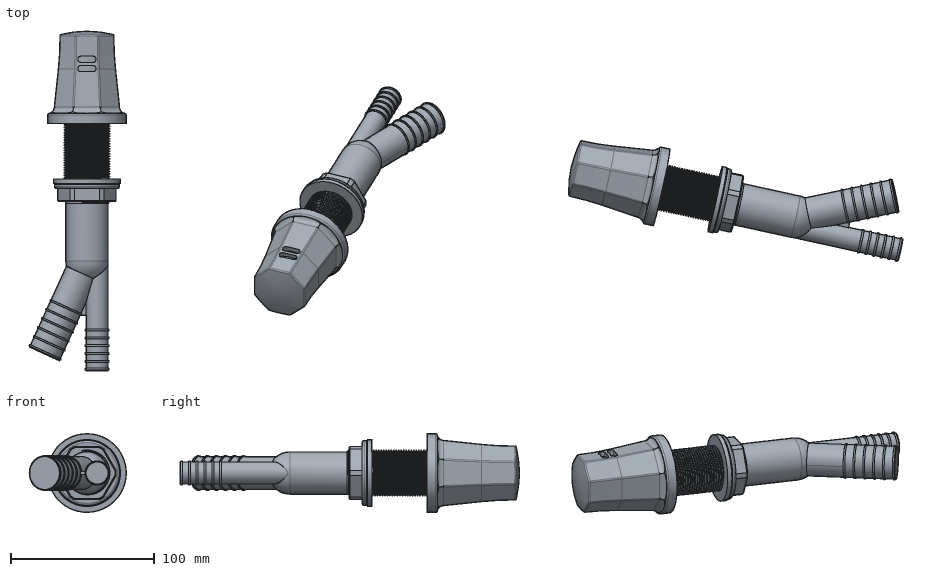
import cadquery as cq
import math


FLANGE_RADIUS = 27.43
FLANGE_HEIGHT = 7.2
FLANGE_EDGE_FILLET = 1.2
CAP_SIDES = 8
CAP_BASE_APOTHEM = 22.8
CAP_BASE_Y = 11.5
CAP_BREAK_APOTHEM = 20.0
CAP_BREAK_Y = 38.0
CAP_TOP_Y = 64.5
CAP_TOP_APOTHEM = 18.9
CAP_DOME_RADIUS = 73.0
CAP_CORNER_FILLET = 1.5
CAP_RIM_FILLET = 1.0
FLAT_EDGE_RISE = 1.0

SLOT_LENGTH = 12.5
SLOT_WIDTH = 4.3
SLOT_CORNER = 1.9
SLOT_CENTERS_Y = (44.85, 38.4)
SLOT_FLOOR_RADIUS = 17.0

THREAD_RADIUS = 16.0
THREAD_ROOT_RADIUS = 14.9
THREAD_PITCH = 1.75
THREAD_START_Y = THREAD_PITCH
THREAD_END_Y = -55.6
THREAD_RUNOUT = 0.1
THREAD_CREST = 0.2
THREAD_BASE = 1.5
THREAD_OVERLAP = 0.2

WASHER_RADIUS = 23.35
WASHER_TOP_Y = -38.4
WASHER_THICKNESS = 3.2
COLLAR_RADIUS = 22.7
COLLAR_NECK_RADIUS = 22.0
COLLAR_NECK = 0.7
COLLAR_END_Y = -45.2
COLLAR_FILLET = 1.5
NUT_SIDES = 6
NUT_ACROSS_FLATS = 37.0
NUT_CORNER_RADIUS = 20.4
NUT_END_Y = -54.3
NUT_CHAMFER = 0.8

BODY_RADIUS = 14.8
BODY_END_Y = -95.6
SMALL_PIPE_RADIUS = 7.7
SMALL_PIPE_INSET = 0.05
SMALL_PIPE_END_Y = -172.16
SMALL_BEAD_RADIUS = 0.7
SMALL_BEAD_PITCH = 5.45
LARGE_PIPE_RADIUS = 11.5
LARGE_PIPE_LENGTH = 71.2
LARGE_PIPE_ANGLE = 24.6
LARGE_BEAD_RADIUS = 0.6
LARGE_BEAD_PITCH = 6.9
BEAD_COUNT = 6
BEAD_END_DISTANCE = 1.2
WEB_THICKNESS = 2.2
WEB_END_Y = -133.4


def cylinder_y(radius, y_start, y_end):
    """Solid cylinder on the Y axis between two Y positions, with its seam on the -X side."""
    low = min(y_start, y_end)
    plane = cq.Plane(origin=(0, low, 0), xDir=(-1, 0, 0), normal=(0, 1, 0))
    return cq.Workplane(plane).circle(radius).extrude(abs(y_end - y_start))


def cap_slab(angle):
    """Slab bounded by two opposite flared faces of the octagonal cap."""
    flare = CAP_BASE_Y - FLANGE_HEIGHT
    flare_bend = flare * (1 - math.sqrt(0.5))
    half_width = 2 * FLANGE_RADIUS
    half = (
        cq.Workplane("XY")
        .lineTo(half_width, 0)
        .lineTo(half_width, FLANGE_HEIGHT)
        .lineTo(CAP_BASE_APOTHEM + flare, FLANGE_HEIGHT)
        .threePointArc(
            (CAP_BASE_APOTHEM + flare_bend, FLANGE_HEIGHT + flare_bend),
            (CAP_BASE_APOTHEM, CAP_BASE_Y),
        )
        .lineTo(CAP_BREAK_APOTHEM, CAP_BREAK_Y)
        .tangentArcPoint((CAP_TOP_APOTHEM, CAP_TOP_Y), relative=False)
        .lineTo(0, CAP_TOP_Y)
        .close()
        .extrude(half_width, both=True)
    )
    return half.union(half.mirror("YZ")).rotate((0, 0, 0), (0, 1, 0), angle)


def octagon_block():
    """Flared octagonal block with its long vertical corners rounded."""
    block = cap_slab(0)
    for i in range(1, CAP_SIDES // 2):
        block = block.intersect(cap_slab(i * 360 / CAP_SIDES))

    def is_wall_corner(edge):
        rise = abs(edge.startPoint().y - edge.endPoint().y)
        return rise > FLAT_EDGE_RISE and edge.Center().y > CAP_BASE_Y

    corners = block.edges().filter(is_wall_corner)
    return corners.fillet(CAP_CORNER_FILLET)


def cut_slots(cap):
    """Cut the rounded slots down to a cylindrical floor around the cap axis."""
    core = cylinder_y(SLOT_FLOOR_RADIUS, 0, CAP_TOP_Y)
    for y in SLOT_CENTERS_Y:
        slot = (
            cq.Workplane("XY", origin=(0, y, 0))
            .rect(SLOT_LENGTH, SLOT_WIDTH)
            .extrude(FLANGE_RADIUS)
            .edges("|Z")
            .fillet(SLOT_CORNER)
        )
        cap = cap.cut(slot.cut(core))
    return cap


def make_cap():
    """Octagonal cap with a domed top, standing on the round flange."""
    dome_center_y = CAP_TOP_Y - CAP_DOME_RADIUS
    dome = cq.Workplane("XY").sphere(CAP_DOME_RADIUS).translate((0, dome_center_y, 0))
    cap = octagon_block().intersect(dome)
    cap = cap.faces(">Y").edges().fillet(CAP_RIM_FILLET)
    flange_inner = FLANGE_RADIUS - FLANGE_EDGE_FILLET
    cap = cap.intersect(cylinder_y(flange_inner, 0, CAP_TOP_Y))
    flange = cylinder_y(FLANGE_RADIUS, 0, FLANGE_HEIGHT)
    flange = flange.faces(">Y").edges().fillet(FLANGE_EDGE_FILLET)
    return cut_slots(cap.union(flange))


def thread_ridge(first_turn, turns):
    """Helical ridge that starts a whole number of pitches below the top of the thread."""
    helix = cq.Wire.makeHelix(THREAD_PITCH, turns * THREAD_PITCH, THREAD_ROOT_RADIUS)
    root = THREAD_ROOT_RADIUS - THREAD_OVERLAP
    profile = [
        (root, -THREAD_BASE / 2),
        (THREAD_RADIUS, -THREAD_CREST / 2),
        (THREAD_RADIUS, THREAD_CREST / 2),
        (root, THREAD_BASE / 2),
    ]
    ridge = cq.Workplane("XZ").polyline(profile).close().sweep(cq.Workplane(helix), isFrenet=True)
    start_y = THREAD_START_Y - first_turn * THREAD_PITCH
    return ridge.rotate((0, 0, 0), (1, 0, 0), 90).translate((0, start_y, 0))


def make_shank():
    """Shank threaded above and below the nut; the hidden turns inside the nut are left out."""
    upper_turns = math.ceil((THREAD_START_Y - WASHER_TOP_Y) / THREAD_PITCH)
    total_turns = (THREAD_START_Y - THREAD_END_Y - THREAD_BASE / 2 - THREAD_RUNOUT) / THREAD_PITCH
    first_lower_turn = math.floor((THREAD_START_Y - NUT_END_Y) / THREAD_PITCH) - 1
    shank = cylinder_y(THREAD_ROOT_RADIUS, 0, THREAD_END_Y)
    shank = shank.union(thread_ridge(0, upper_turns), clean=False)
    return shank.union(thread_ridge(first_lower_turn, total_turns - first_lower_turn), clean=False)


def make_nut():
    """Washer, rounded collar and hexagonal nut with turned-down corners."""
    washer_end = WASHER_TOP_Y - WASHER_THICKNESS
    neck_end = washer_end - COLLAR_NECK
    washer = cylinder_y(WASHER_RADIUS, WASHER_TOP_Y, washer_end)
    neck = cylinder_y(COLLAR_NECK_RADIUS, washer_end, neck_end)
    collar = cylinder_y(COLLAR_RADIUS, neck_end, COLLAR_END_Y)
    collar = collar.faces("<Y").edges().fillet(COLLAR_FILLET)
    hexagon = (
        cq.Workplane("XZ", origin=(0, COLLAR_END_Y, 0))
        .polygon(NUT_SIDES, NUT_ACROSS_FLATS / math.cos(math.pi / NUT_SIDES))
        .extrude(COLLAR_END_Y - NUT_END_Y)
    )
    corner_limit = cylinder_y(NUT_CORNER_RADIUS, COLLAR_END_Y, NUT_END_Y)
    hexagon = hexagon.intersect(corner_limit).faces("<Y").chamfer(NUT_CHAMFER)
    return washer.union(neck).union(collar).union(hexagon)


def make_outlet(pipe_radius, bead_radius, length, bead_pitch):
    """Hose outlet along -Y from the origin, with round beads near its end."""
    pipe = cylinder_y(pipe_radius, 0, -length)
    for i in range(BEAD_COUNT):
        bead_y = -length + BEAD_END_DISTANCE + i * bead_pitch
        bead = (
            cq.Workplane("XY")
            .center(-pipe_radius, bead_y)
            .circle(bead_radius)
            .revolve(360, (pipe_radius, 0), (pipe_radius, 1))
        )
        pipe = pipe.union(bead)
    return pipe


def make_web(small_pipe_x):
    """Thin web filling the crotch between the axes of the two outlets."""
    depth = BODY_END_Y - WEB_END_Y
    large_pipe_x = -depth * math.tan(math.radians(LARGE_PIPE_ANGLE))
    outline = [(0, 0), (small_pipe_x, 0), (small_pipe_x, -depth), (large_pipe_x, -depth)]
    return cq.Workplane("XY").polyline(outline).close().extrude(WEB_THICKNESS / 2, both=True)


def make_body():
    """Round body with a hemispherical end, two hose outlets and the web between them."""
    arc_offset = BODY_RADIUS * math.sqrt(0.5)
    body = (
        cq.Workplane("XY")
        .moveTo(0, THREAD_END_Y)
        .lineTo(-BODY_RADIUS, THREAD_END_Y)
        .lineTo(-BODY_RADIUS, BODY_END_Y)
        .threePointArc((-arc_offset, BODY_END_Y - arc_offset), (0, BODY_END_Y - BODY_RADIUS))
        .close()
        .revolve(360, (0, 0), (0, 1))
    )

    small_pipe_x = BODY_RADIUS - SMALL_PIPE_RADIUS - SMALL_PIPE_INSET
    small_length = BODY_END_Y - SMALL_PIPE_END_Y
    small = make_outlet(SMALL_PIPE_RADIUS, SMALL_BEAD_RADIUS, small_length, SMALL_BEAD_PITCH)
    small = small.translate((small_pipe_x, 0, 0))
    large = make_outlet(LARGE_PIPE_RADIUS, LARGE_BEAD_RADIUS, LARGE_PIPE_LENGTH, LARGE_BEAD_PITCH)
    large = large.rotate((0, 0, 0), (0, 0, 1), -LARGE_PIPE_ANGLE)
    for piece in (small, large, make_web(small_pipe_x)):
        body = body.union(piece.translate((0, BODY_END_Y, 0)))
    return body


def make_part():
    """Complete part as one solid."""
    smooth_parts = make_cap().union(make_nut()).union(make_body())
    return smooth_parts.union(make_shank(), clean=False)


result = make_part()